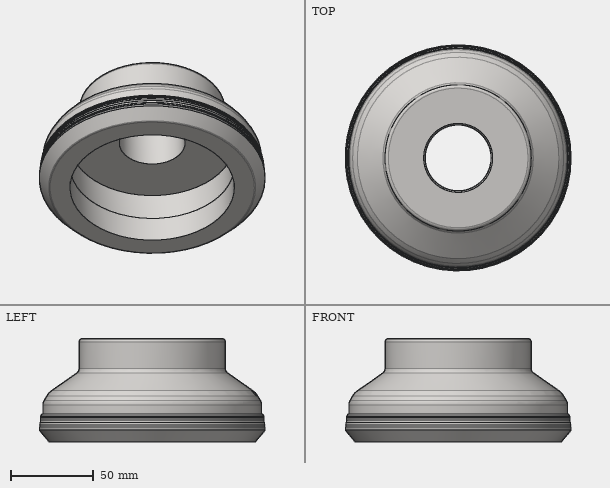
import cadquery as cq
import math

height = 63.0
rim_radius = 137.55 / 2

neck_radius = 44.5
neck_edge_fillet = 2.0
neck_root_fillet = 3.0
upper_cone_angle = 35.0
lower_cone_angle = 60.0
cone_meeting_z = 30.1
skirt_radius = 66.6
skirt_top_z = 24.05
upper_shoulder_fillet = 10.0
lower_shoulder_fillet = 5.0

bore_radius = 20.0
bore_chamfer = 1.0
recess_radius = 50.0
recess_roof_z = 35.3

ring_top_z = 17.2
ring_top_radius = 67.1
shoulder_bevel_z = 16.0
taper_top_radius = 67.9
taper_bottom_z = 8.0
bevel_top_z = 7.3
bevel_angle = 50.0
foot_fillet = 1.0

groove_depth = 0.15
groove_bands = [(15.25, 14.85), (13.6, 12.0), (10.3, 9.1)]


def cone_run(rise, angle):
    """Radial distance covered by a cone that climbs by the given rise."""
    return rise / math.tan(math.radians(angle))


def revolve_profile(points):
    """Turn a closed outline of (radius, z) points about the Z axis."""
    return cq.Workplane("XZ").polyline(points).close().revolve(360, (0, 0, 0), (0, 1, 0))


def fillet_circle(body, z, radius):
    """Round the circular edge that lies at height z."""
    return body.edges(cq.selectors.NearestToPointSelector((0, 0, z))).fillet(radius)


def make_hub():
    cone_meeting_radius = skirt_radius - cone_run(cone_meeting_z - skirt_top_z, lower_cone_angle)
    upper_cone_slope = math.tan(math.radians(upper_cone_angle))
    neck_root_z = cone_meeting_z + (cone_meeting_radius - neck_radius) * upper_cone_slope

    hub = revolve_profile([
        (0, ring_top_z),
        (skirt_radius, ring_top_z),
        (skirt_radius, skirt_top_z),
        (cone_meeting_radius, cone_meeting_z),
        (neck_radius, neck_root_z),
        (neck_radius, height),
        (0, height),
    ])
    hub = fillet_circle(hub, skirt_top_z, lower_shoulder_fillet)
    hub = fillet_circle(hub, cone_meeting_z, upper_shoulder_fillet)
    hub = fillet_circle(hub, neck_root_z, neck_root_fillet)
    hub = fillet_circle(hub, height, neck_edge_fillet)

    recess = cq.Workplane("XY").circle(recess_radius).extrude(recess_roof_z)
    bore = cq.Workplane("XY").circle(bore_radius).extrude(height)
    bore_mouth = revolve_profile([
        (0, height - bore_chamfer),
        (bore_radius, height - bore_chamfer),
        (bore_radius + bore_chamfer, height),
        (0, height),
    ])
    return hub.cut(recess).cut(bore).cut(bore_mouth)


def taper_radius(z):
    """Radius of the rim ring's tapered face at height z."""
    fraction = (z - taper_bottom_z) / (shoulder_bevel_z - taper_bottom_z)
    return rim_radius + fraction * (taper_top_radius - rim_radius)


def groove_points(upper_z, lower_z):
    """Outline of one groove, from its lower edge up, with its floor parallel to the taper."""
    lower_radius = taper_radius(lower_z)
    upper_radius = taper_radius(upper_z)
    return [
        (lower_radius, lower_z),
        (lower_radius - groove_depth, lower_z),
        (upper_radius - groove_depth, upper_z),
        (upper_radius, upper_z),
    ]


def make_rim_ring():
    foot_radius = rim_radius - cone_run(bevel_top_z, bevel_angle)
    outline = [
        (recess_radius, 0),
        (foot_radius, 0),
        (rim_radius, bevel_top_z),
        (rim_radius, taper_bottom_z),
    ]
    for upper_z, lower_z in reversed(groove_bands):
        outline += groove_points(upper_z, lower_z)
    outline += [
        (taper_top_radius, shoulder_bevel_z),
        (ring_top_radius, ring_top_z),
        (recess_radius, ring_top_z),
    ]
    ring = revolve_profile(outline)
    outer_foot_edge = ring.faces("<Z").edges(cq.selectors.RadiusNthSelector(-1))
    return ring.newObject(outer_foot_edge.vals()).fillet(foot_fillet)


hub = make_hub()
rim_ring = make_rim_ring()

result = cq.Compound.makeCompound([hub.val(), rim_ring.val()])